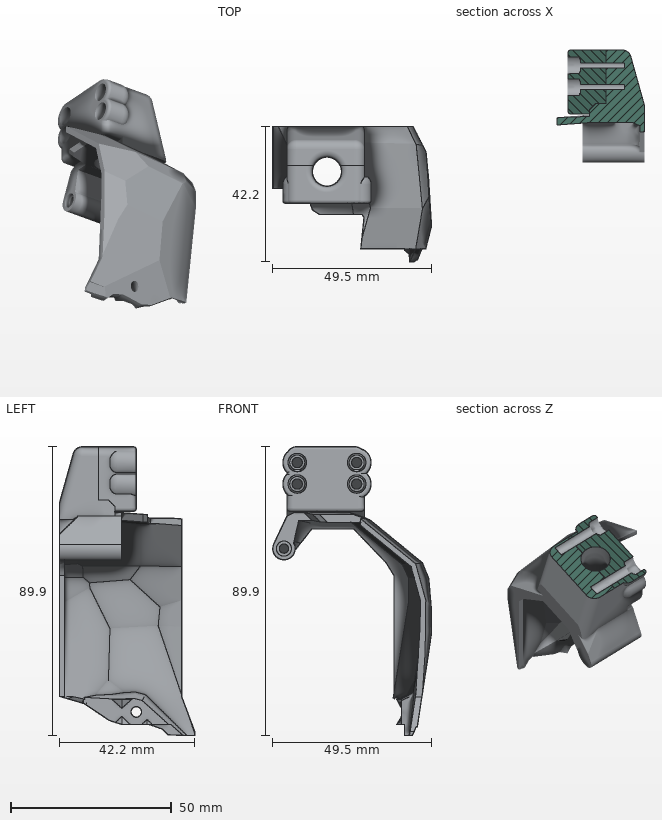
import cadquery as cq
import math

FAR = 100.0

BLOCK_WIDTH = 24.2
BLOCK_X = -0.4
BLOCK_TOP = 89.94
BLOCK_FRONT = -24.0
BLOCK_BASE = 67.2
BLOCK_ROUND = 3.0
FRONT_EDGE_ROUND = 1.0
FRONT_CORNER_ROUND = 2.0
REAR_BEND_Z = 72.4
REAR_LEAN = 0.28

SPLIT_Y = -12.25
STEP_Z = 73.3
STEP_Y = -15.3
TOE_Y = -17.3
TOE_Z = 71.3
CLAMP_BOTTOM = 69.8

BORE_Y = -14.1
BORE_DIAMETER = 9.0
BORE_MOUTH_ROUND = 2.0

SCREW_PITCH_X = 18.5
SCREW_PITCH_Z = 6.7
SCREW_TOP_Z = 85.0
SCREW_HOLE = 3.2
SCREW_HEAD_BORE = 5.75
SCREW_HEAD_DEPTH = 3.5
SCREW_SEAT_BORE = 4.7
SCREW_SEAT_DEPTH = 0.4
SCREW_HOLE_END = -6.5
BOSS_RADIUS = 4.5
BOSS_LENGTH = 6.0
BOSS_DOME_LENGTH = 2.3
BOSS_END_RADIUS = 3.4
BOSS_ROUND = 0.9

HINGE_X = -13.4
HINGE_Z = 58.2
HINGE_RADIUS = 3.5
HINGE_HOLE = 2.9
HINGE_HOLE_END = -2.0
HINGE_RECESS = 4.7
HINGE_RECESS_DEPTH = 1.0
ARM_LENGTH = 19.4
ARM_WEB_ROUND = 3.6

WALL = 1.6
SIDE_WALL = 2.0
ROOF_THICKNESS = 2.4
RIM_Y = -38.16
TIP_Y = -42.2

PAD_X = 23.2
PAD_STEP_X = 24.1
PAD_STEP_Z = 3.4
PAD_DEPTH = 8.0
PAD_TAPER = 28.0
PAD_HOLE = 3.2
PAD_HOLE_Y = -23.95
PAD_HOLE_Z = 7.35


def prism_along_y(outline, y_start, y_end):
    """Extrude an (x, z) outline between two Y positions."""
    plane = cq.Workplane("XZ", origin=(0, y_start, 0))
    return plane.polyline(outline).close().extrude(y_start - y_end)


def prism_along_x(outline, x_start, x_end):
    """Extrude a (y, z) outline between two X positions."""
    plane = cq.Workplane("YZ", origin=(x_start, 0, 0))
    return plane.polyline(outline).close().extrude(x_end - x_start)


def prism_along_z(outline, z_start, z_end):
    """Extrude an (x, y) outline between two Z positions."""
    plane = cq.Workplane("XY", origin=(0, 0, z_start))
    return plane.polyline(outline).close().extrude(z_end - z_start)


def cylinder_along_y(diameter, x, z, y_front, y_rear):
    """A round bar running from its front end back to its rear end."""
    plane = cq.Workplane("XZ", origin=(x, y_rear, z))
    return plane.circle(diameter / 2).extrude(y_rear - y_front)


def tetrahedron(a, b, c, d):
    """A solid with four triangular faces."""
    triangles = [(a, b, c), (a, b, d), (b, c, d), (a, c, d)]
    faces = []
    for triangle in triangles:
        corners = [cq.Vector(*point) for point in triangle]
        wire = cq.Wire.makePolygon(corners, close=True)
        faces.append(cq.Face.makeFromWires(wire))
    solid = cq.Solid.makeSolid(cq.Shell.makeShell(faces))
    return cq.Workplane(solid.fix())



lip_top = (7.9, -WALL, 66.1)
lip_shoulder = (23.5, -WALL, 53.2)
lip_knee = (25.35, -WALL, 49.2)
lip_side = (25.35, -WALL, 41.4)
lip_foot = (21.0, -WALL, 14.2)
rear_ridge = (25.9, -5.8, 53.2)
knee_inner = (28.6, -7.9, 49.2)
side_high = (29.2, -9.5, 47.9)
side_low = (29.4, -9.5, 45.6)
waist_rear = (30.0, -15.75, 33.3)
waist_front = (30.92, -30.8, 34.1)
cheek = (30.82, -30.8, 40.5)
shoulder_front = (30.15, -22.0, 48.5)
front_ridge = (28.4, -25.4, 52.8)
ridge_top = (13.8, -25.4, 64.75)
rim_top = (10.6, -37.4, 65.43)
rim_shoulder = (26.4, -37.4, 52.5)
rim_high = (29.3, -37.4, 41.8)
rim_low = (29.2, -37.4, 33.9)
rim_foot = (27.9, -37.4, 14.0)
foot_corner = (27.2, -15.7, 16.9)
foot_rear = (24.65, -11.1, 12.2)
foot_front = (26.82, -20.7, 13.1)
roof_rear = (0, -19.4, 67.0)
roof_front = (0, -27.3, 66.4)
roof_side = (7.0, -27.3, 66.4)
slant_rear = (7.8, -24.0, 67.35)
slant_front = (8.4, -27.5, 67.05)
slant_side = (15.4, -25.4, 64.7)

INSIDE_POINT = cq.Vector(10, -20, 40)

FACETS = [
    (lip_shoulder, lip_knee, knee_inner, SIDE_WALL),
    (lip_knee, lip_side, side_low, SIDE_WALL),
    (lip_side, lip_foot, waist_rear, WALL),
    (side_high, shoulder_front, front_ridge, WALL),
    (side_low, waist_rear, cheek, WALL),
    (cheek, shoulder_front, rim_high, WALL),
    (waist_front, rim_low, rim_high, WALL),
    (waist_front, rim_low, rim_foot, SIDE_WALL),
    (waist_rear, waist_front, foot_corner, SIDE_WALL),
    (foot_corner, foot_rear, foot_front, WALL),
    (lip_shoulder, rear_ridge, lip_top, WALL),
    (rear_ridge, front_ridge, ridge_top, WALL),
    (front_ridge, rim_shoulder, rim_top, WALL),
    (roof_rear, roof_front, roof_side, ROOF_THICKNESS),
    (slant_rear, slant_front, slant_side, WALL),
]


def faceted_solid(rear_y, with_walls):
    """Trim a box by every facet: the cavity itself, or the cavity grown by its walls."""
    solid = cq.Workplane("XY").box(FAR, FAR, FAR + BLOCK_TOP)
    solid = solid.translate((0, rear_y - FAR / 2, BLOCK_TOP / 2))
    for first, second, third, thickness in FACETS:
        corner = cq.Vector(*first)
        normal = (cq.Vector(*second) - corner).cross(cq.Vector(*third) - corner).normalized()
        if normal.dot(INSIDE_POINT - corner) > 0:
            normal = normal * -1
        if with_walls:
            corner = corner + normal * thickness
        plane = cq.Plane(origin=corner.toTuple(), normal=normal.toTuple())
        outside = cq.Workplane(plane).rect(4 * FAR, 4 * FAR).extrude(2 * FAR)
        solid = solid.cut(outside)
    return solid


FOOT_OUTLINE = [
    (0, 12.2), (-7.8, 9.9), (-15.5, 4.7), (-19.5, PAD_STEP_Z), (-28, PAD_STEP_Z), (-32, 2.0),
    (-33.8, 0.2), (-39, 0), (TIP_Y, 0), (TIP_Y, 1.2), (RIM_Y, 12.0), (RIM_Y, BLOCK_TOP), (0, BLOCK_TOP),
]
ROOF_PLAN = [
    (-10.0, 0), (FAR, 0), (FAR, TIP_Y), (10.4, TIP_Y), (10.5, RIM_Y), (11.5, -28.4), (10.9, -27.5),
    (-10.0, -27.5),
]
OPENING = [
    (-9.7, 58.0), (-4.7, 64.3), (8.3, 64.3), (18.3, 53.9), (20.84, 49.8),
    (20.84, -FAR), (-FAR, -FAR), (-FAR, 58.0),
]
TIP_BEVEL = [(26.6, 0), (27.8, 2.7), (FAR, 2.7), (FAR, 0)]
ROOF_END_Z = 69.3
ROOF_END_LEAN = 4.0
ROOF_END = [
    (-FAR, -ARM_LENGTH), (-7.0, -ARM_LENGTH), (-5.5, -24.1), (-4.9, -26.1), (-2.8, -27.5),
    (-2.8, -30.0), (-FAR, -30.0),
]

PAD_OUTLINE = [(-7.5, 11.9), (-16.5, 11.4), (-23.5, 11.5), (-25.8, 10.9), (-40.4, -2.3), (-7.5, -2.3)]
PAD_CLEARANCE = [(-9.2, 12.0), (-10.2, 10.1), (-7.8, 9.9), (-7.8, -2), (-FAR, -2), (-FAR, 12.0)]
LIP_FOOT_BEVEL = [(20.84, 0, 12.2), (22.8, -8.8, 12.0), (25.2, -8.2, 9.0), (20, -8, 8)]
UPPER_SPUR_Z = 11.3
SPUR_REACH = 1.5
SPURS = [
    (-19.45, 2.6, PAD_STEP_Z, PAD_STEP_Z + 2.6),
    (-27.3, 1.7, PAD_STEP_Z, PAD_STEP_Z + 1.6),
    (-19.45, 3.1, UPPER_SPUR_Z, UPPER_SPUR_Z - 2.8),
]


def make_pad(outer):
    """Tapered screw pad inside the foot of the shroud."""
    plane = cq.Workplane("YZ", origin=(PAD_X, 0, 0))
    pad = plane.polyline(PAD_OUTLINE).close().extrude(PAD_DEPTH, taper=-PAD_TAPER)
    pad = pad.intersect(outer)
    step = cq.Workplane("XY").box(FAR, FAR, FAR).translate(
        (PAD_STEP_X - FAR / 2, 0, PAD_STEP_Z - FAR / 2))
    return pad.cut(step)


def make_spur(y, half_width, base_z, tip_z):
    """Pointed spur standing out of the pad face, level at its base."""
    return tetrahedron(
        (PAD_X, y - half_width, base_z),
        (PAD_X, y + half_width, base_z),
        (PAD_X, y, tip_z),
        (PAD_X - SPUR_REACH, y, base_z),
    )


def make_roof_end():
    """Leaning cutter that trims the left end of the roof."""
    upper = [(x - ROOF_END_LEAN, y) for x, y in ROOF_END]
    lower = [(x + ROOF_END_LEAN, y) for x, y in ROOF_END]
    cutter = cq.Workplane("XY", origin=(0, 0, ROOF_END_Z + ROOF_END_LEAN)).polyline(upper).close()
    cutter = cutter.workplane(offset=-2 * ROOF_END_LEAN).polyline(lower).close()
    return cutter.loft(ruled=True)


def make_shroud():
    outer = faceted_solid(0, True)
    shell = outer.cut(faceted_solid(-WALL, False))
    shell = shell.cut(prism_along_y(OPENING, 1, -WALL))
    shell = shell.cut(prism_along_x(PAD_CLEARANCE, -FAR, PAD_X))
    shell = shell.cut(tetrahedron(*LIP_FOOT_BEVEL))
    shell = shell.union(make_pad(outer))
    for spur in SPURS:
        shell = shell.union(make_spur(*spur))
    shell = shell.intersect(prism_along_x(FOOT_OUTLINE, -FAR, FAR))
    shell = shell.intersect(prism_along_z(ROOF_PLAN, -1, BLOCK_TOP))
    shell = shell.cut(prism_along_y(TIP_BEVEL, 1, -FAR))
    shell = shell.cut(make_roof_end())
    pad_hole = cq.Workplane("YZ", origin=(PAD_X - 1, PAD_HOLE_Y, PAD_HOLE_Z))
    return shell.cut(pad_hole.circle(PAD_HOLE / 2).extrude(FAR))



ARM_HEEL = (-10.3, 60.4)
ARM_ROOT = (-8.8, 67.0)
ARM_OUTLINE = [
    (-16.65, 59.5), (-12.5, 68.3), (-10.1, 69.5), (-7.0, 69.4), (-4.7, 67.0),
    ARM_ROOT, ARM_HEEL, (-10.3, 56.9), (HINGE_X, HINGE_Z),
]
ARM_REAR_BEVEL = [(-15.15, 0, 62.6), (-11.0, -8.9, 71.2), (-8.0, 0, 69.2), (-16.0, 0, 74.0)]
ARM_WEB = [(-9.7, 58.0), ARM_HEEL, ARM_ROOT, (-4.0, 67.0), (-4.7, 64.3)]


def make_web_fillet():
    """Concave fillet between the inner side of the arm and the rear lip."""
    run = ARM_ROOT[0] - ARM_HEEL[0]
    rise = ARM_ROOT[1] - ARM_HEEL[1]
    plane = cq.Plane(origin=(ARM_HEEL[0], -WALL, ARM_HEEL[1]), xDir=(rise, 0, -run), normal=(run, 0, rise))
    bend = ARM_WEB_ROUND * (1 - math.sqrt(0.5))
    profile = cq.Workplane(plane).lineTo(ARM_WEB_ROUND, 0)
    profile = profile.threePointArc((bend, -bend), (0, -ARM_WEB_ROUND)).close()
    fillet = profile.extrude(math.hypot(run, rise))
    return fillet.cut(prism_along_y(OPENING, 0, -ARM_LENGTH))


def make_arm():
    arm = prism_along_y(ARM_OUTLINE, 0, -ARM_LENGTH)
    arm = arm.union(cylinder_along_y(2 * HINGE_RADIUS, HINGE_X, HINGE_Z, -ARM_LENGTH, 0))
    arm = arm.union(prism_along_y(ARM_WEB, 0, -WALL))
    arm = arm.union(make_web_fillet())
    arm = arm.cut(cylinder_along_y(HINGE_HOLE, HINGE_X, HINGE_Z, -ARM_LENGTH, HINGE_HOLE_END))
    recess_end = HINGE_RECESS_DEPTH - ARM_LENGTH
    arm = arm.cut(cylinder_along_y(HINGE_RECESS, HINGE_X, HINGE_Z, -ARM_LENGTH, recess_end))
    return arm.cut(tetrahedron(*ARM_REAR_BEVEL))



def make_block():
    """Housing block with all its outer rounds, before it is split."""
    def lean_y(z):
        return -(z - REAR_BEND_Z) * REAR_LEAN

    side = [
        (lean_y(BLOCK_BASE), BLOCK_BASE), (lean_y(BLOCK_TOP), BLOCK_TOP), (BLOCK_FRONT, BLOCK_TOP),
        (BLOCK_FRONT, CLAMP_BOTTOM), (TOE_Y, CLAMP_BOTTOM), (TOE_Y, BLOCK_BASE),
    ]
    half_width = BLOCK_WIDTH / 2
    block = prism_along_x(side, BLOCK_X - half_width, BLOCK_X + half_width)
    rear_edges = block.faces(">Y").edges("not(#Z)")
    top_edges = block.faces(">Z").edges("|Y or >Y")
    block = block.newObject(rear_edges.vals() + top_edges.vals()).fillet(BLOCK_ROUND)
    block = block.faces("<Y").edges("not(<Z)").fillet(FRONT_EDGE_ROUND)
    block = round_front_corners(block)
    clamp_underside = block.faces(cq.NearestToPointSelector((BLOCK_X, BLOCK_FRONT, CLAMP_BOTTOM)))
    block = clamp_underside.edges("not(>Y)").fillet(FRONT_EDGE_ROUND)
    for x in (-SCREW_PITCH_X / 2, SCREW_PITCH_X / 2):
        for z in (SCREW_TOP_Z, SCREW_TOP_Z - SCREW_PITCH_Z):
            block = block.union(make_boss(x, z))
            block = block.cut(make_screw_bore(x, z))
    behind_rear_face = cq.Workplane("XY").box(FAR, FAR, 4 * FAR).translate((0, FAR / 2, 0))
    return block.cut(behind_rear_face)


def round_front_corners(block):
    """Round the upright front corners below the screw bosses."""
    height = SCREW_TOP_Z - SCREW_PITCH_Z - CLAMP_BOTTOM
    center_x = BLOCK_WIDTH / 2 - FRONT_CORNER_ROUND
    center_y = BLOCK_FRONT + FRONT_CORNER_ROUND
    for side in (-1, 1):
        plane = cq.Workplane("XY", origin=(BLOCK_X + side * center_x, center_y, CLAMP_BOTTOM))
        outer_x = side * FRONT_CORNER_ROUND
        bend = FRONT_CORNER_ROUND * math.sqrt(0.5)
        sliver = plane.moveTo(outer_x, 0).lineTo(outer_x, -FRONT_CORNER_ROUND)
        sliver = sliver.lineTo(0, -FRONT_CORNER_ROUND)
        sliver = sliver.threePointArc((side * bend, -bend), (outer_x, 0)).close()
        block = block.cut(sliver.extrude(height))
    return block


def make_boss(x, z):
    """Round screw boss with a rounded front rim and a domed rear end."""
    dome_start = BLOCK_FRONT + BOSS_LENGTH
    dome_end = dome_start + BOSS_DOME_LENGTH
    rim_y = BLOCK_FRONT + BOSS_ROUND
    bend = BOSS_ROUND * (1 - math.sqrt(0.5))
    profile = cq.Workplane("XY", origin=(x, 0, z)).moveTo(0, BLOCK_FRONT)
    profile = profile.lineTo(BOSS_RADIUS - BOSS_ROUND, BLOCK_FRONT)
    profile = profile.threePointArc((BOSS_RADIUS - bend, BLOCK_FRONT + bend), (BOSS_RADIUS, rim_y))
    profile = profile.lineTo(BOSS_RADIUS, dome_start)
    profile = profile.tangentArcPoint((BOSS_END_RADIUS, dome_end), relative=False)
    return profile.lineTo(0, dome_end).close().revolve(360, (0, 0), (0, 1))


def make_screw_bore(x, z):
    """Head recess, short seat and blind screw hole."""
    seat_y = BLOCK_FRONT + SCREW_HEAD_DEPTH
    bore = cylinder_along_y(SCREW_HEAD_BORE, x, z, BLOCK_FRONT, seat_y)
    bore = bore.union(cylinder_along_y(SCREW_SEAT_BORE, x, z, seat_y, seat_y + SCREW_SEAT_DEPTH))
    return bore.union(cylinder_along_y(SCREW_HOLE, x, z, BLOCK_FRONT, SCREW_HOLE_END))


def make_clamp_zone():
    """Everything in front of the stepped split, above the toe of the bracket."""
    split = [
        (SPLIT_Y, FAR), (SPLIT_Y, STEP_Z), (STEP_Y, STEP_Z), (TOE_Y, TOE_Z),
        (TOE_Y, CLAMP_BOTTOM), (-FAR, CLAMP_BOTTOM), (-FAR, FAR),
    ]
    return prism_along_x(split, -FAR, FAR)


def make_bore():
    """Cable bore with a rounded mouth at the top."""
    radius = BORE_DIAMETER / 2
    bend = BORE_MOUTH_ROUND * (1 - math.sqrt(0.5))
    profile = cq.Workplane("XZ", origin=(0, BORE_Y, 0)).lineTo(radius, 0)
    profile = profile.lineTo(radius, BLOCK_TOP - BORE_MOUTH_ROUND)
    profile = profile.threePointArc(
        (radius + bend, BLOCK_TOP - bend), (radius + BORE_MOUTH_ROUND, BLOCK_TOP))
    return profile.lineTo(0, BLOCK_TOP).close().revolve(360, (0, 0), (0, 1))



block = make_block()
clamp_zone = make_clamp_zone()
bore = make_bore()

bracket = make_shroud().union(make_arm()).union(block.cut(clamp_zone)).cut(bore)
clamp = block.intersect(clamp_zone).cut(bore)

result = cq.Compound.makeCompound([bracket.solids().val(), clamp.solids().val()])